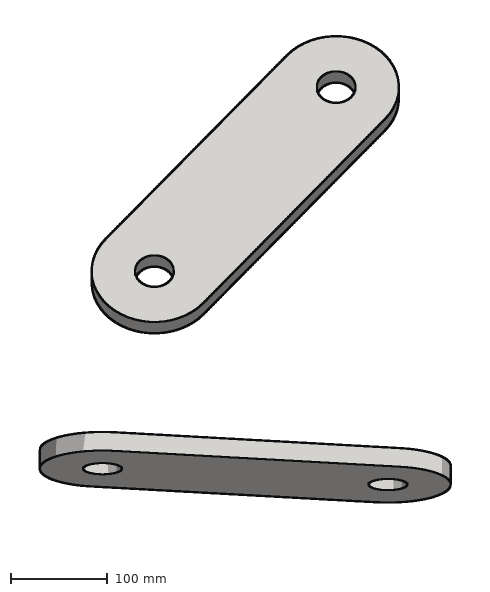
import cadquery as cq

length = 430.0
width = 130.0
thickness = 20.0
hole_diameter = 40.0

hole_spacing = length - width
hole_centers = [(0, -hole_spacing / 2), (0, hole_spacing / 2)]

plate = cq.Workplane("XY").slot2D(length, width, angle=90).extrude(thickness)

result = plate.faces(">Z").workplane().pushPoints(hole_centers).hole(hole_diameter)